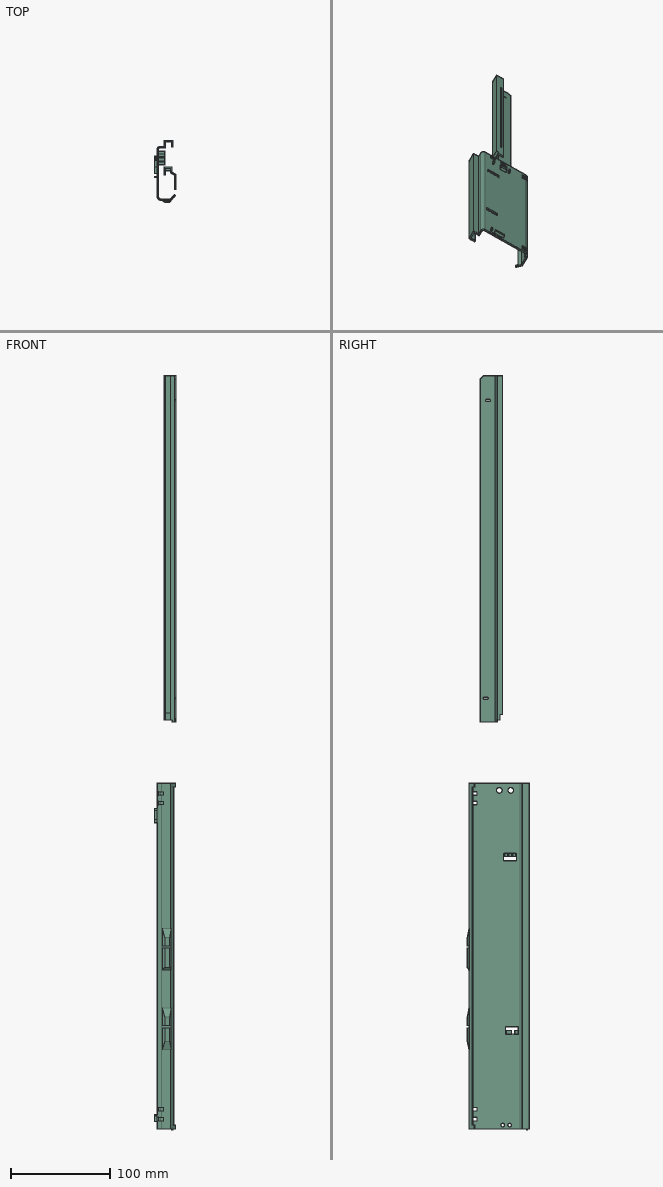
import cadquery as cq
import math

TOTAL_X = 21.79
TOTAL_Y = 62.5
TOTAL_Z = 759.98
X_MAX = TOTAL_X / 2
Y_MAX = TOTAL_Y / 2
Z_MAX = TOTAL_Z / 2

SHEET = 1.5
CUT_MARGIN = 1.0

SLIDE_BOTTOM = 31.0
SLIDE_LEFT = -1.2
SLIDE_STEP_X = 7.0
SLIDE_TOP_Y = 4.4
SLIDE_WALL_END_Y = -3.9
JOGGLE_START_Y = -0.8
JOGGLE_END_Y = -3.2
SLIDE_PLATE_END_Y = -18.3
PLATE_CHAMFER = 3.5
NECK_HEIGHT = 7.5
NECK_STEP = 2.5
NECK_BOTTOM = 32.8
LEAD_IN_HEIGHT = 5.0
LEAD_IN_DEPTH = 0.7
SLIDE_SLOT_LENGTH = 5.0
SLIDE_SLOT_WIDTH = 1.8
SLIDE_SLOTS = [(-10.3, 355.0), (-12.6, 55.0)]
BEAD_Z = (69.0, 334.0)
BEAD_Y = -1.0
BEAD_WIDTH = 1.6
BEAD_DEPTH = 0.4

RAIL_TOP = -30.5
TIP_DROP = 1.0
RAIL_BOTTOM = -Z_MAX + TIP_DROP
WEB_X = -8.3
FLANGE_LEFT = -1.2
FLANGE_RIGHT = 8.0
FLANGE_LIP_Y = 24.5
STEP_Y = 25.2
STEP_RADIUS = 3.4
FLOOR_Y = -29.5
FLOOR_RADIUS = 4.5
FLOOR_END_X = 5.5
LIP_X = 8.6
END_LIP_X = 10.4
END_LIP_HEIGHT = 4.0
TIP_Y = 29.0
TIP_WIDTH = 1.0

FLOOR_PADS = [
    (-219.0, -216.0, -195.5, -186.0, -177.0),
    (-299.0, -291.0, -276.0, -266.0, -257.0),
]
PAD_BASE_X = (-3.0, 6.0)
PAD_CREST_X = (-0.5, 4.5)
PAD_GROOVE = 2.2

WEB_HOLE_D = 5.5
WEB_HOLES = [(12.6, -37.8), (1.1, -37.8)]
END_HOLE_D = 3.5
END_HOLES = [(11.5, -375.0), (4.5, -375.0)]
WEB_BUMPS = [
    (-2.3, 4.5, -70.5, -63.0),
    (-2.3, 4.5, -62.0, -56.0),
    (12.0, 13.4, -66.5, -59.5),
    (-6.4, -5.0, -67.0, -58.0),
    (0.5, 11.0, -371.5, -366.0),
    (14.2, 15.6, -371.5, -364.5),
]
WINDOWS = [
    (5.5, 18.3, -108.5, -101.5),
    (7.5, 20.0, -283.0, -276.0),
]
TABS = [
    (6.5, 9.5, -104.5, -101.0),
    (10.5, 13.5, -104.5, -101.0),
    (14.5, 17.5, -104.5, -101.0),
    (8.0, 13.5, -283.5, -279.5),
    (16.5, 20.3, -283.5, -279.5),
]
TAB_X = -0.5
BEND_OPENINGS_Z = [-41.0, -50.5, -359.0, -369.0]
BEND_OPENING_HEIGHT = 3.4
BEND_OPENING_X = -1.8
BEND_OPENING_Y = -21.5


def block(x0, x1, y0, y1, z0, z1):
    return cq.Workplane("XY").box(x1 - x0, y1 - y0, z1 - z0, centered=False).translate((x0, y0, z0))


def left_normal(start, end):
    dx, dy = end[0] - start[0], end[1] - start[1]
    length = math.hypot(dx, dy)
    return -dy / length, dx / length


def bent_sheet(outer, z0, z1):
    """Extrude a mitred strip of sheet lying on the left of the outer path."""
    normals = [left_normal(a, b) for a, b in zip(outer, outer[1:])]
    before = [normals[0]] + normals
    after = normals + [normals[-1]]
    inner = []
    for (x, y), (ax, ay), (bx, by) in zip(outer, before, after):
        reach = SHEET / (1 + ax * bx + ay * by)
        inner.append((x + reach * (ax + bx), y + reach * (ay + by)))
    outline = outer + inner[::-1]
    return cq.Workplane("XY").workplane(offset=z0).polyline(outline).close().extrude(z1 - z0)


def round_bend(body, x, y, x_side, y_side, radius):
    """Round a bend, given its outer corner and the direction toward its inside."""
    pick = 0.1
    for shift, size in ((0, radius), (SHEET, radius - SHEET)):
        cx, cy = x + x_side * shift, y + y_side * shift
        corner = cq.selectors.BoxSelector(
            (cx - pick, cy - pick, -TOTAL_Z), (cx + pick, cy + pick, TOTAL_Z)
        )
        body = body.edges("|Z").edges(corner).fillet(size)
    return body


def holes_along_x(places, diameter, x0, x1):
    return cq.Workplane("YZ").workplane(offset=x0).pushPoints(places).circle(diameter / 2).extrude(x1 - x0)


def neck_bottom_end(slide):
    """Step the web of the slide inward at its bottom end and shorten the channel."""
    neck_top = SLIDE_BOTTOM + NECK_HEIGHT
    neck_y = SLIDE_TOP_Y - NECK_STEP
    neck_web = block(
        SLIDE_LEFT, SLIDE_STEP_X, neck_y - SHEET, neck_y, SLIDE_BOTTOM, neck_top + SHEET,
    )
    bridge = block(
        SLIDE_LEFT, SLIDE_STEP_X, neck_y - SHEET, SLIDE_TOP_Y, neck_top, neck_top + SHEET,
    )
    web_trim = block(
        SLIDE_LEFT, SLIDE_STEP_X, neck_y, SLIDE_TOP_Y, SLIDE_BOTTOM, neck_top,
    )
    end_trim = block(
        SLIDE_LEFT, SLIDE_STEP_X, SLIDE_WALL_END_Y, SLIDE_TOP_Y, SLIDE_BOTTOM, NECK_BOTTOM,
    )
    return slide.union(neck_web).union(bridge).cut(web_trim).cut(end_trim)


def make_slide():
    path = [
        (X_MAX, SLIDE_PLATE_END_Y),
        (X_MAX, JOGGLE_END_Y),
        (SLIDE_STEP_X, JOGGLE_START_Y),
        (SLIDE_STEP_X, SLIDE_TOP_Y),
        (SLIDE_LEFT, SLIDE_TOP_Y),
        (SLIDE_LEFT, SLIDE_WALL_END_Y),
    ]
    slide = bent_sheet(path, SLIDE_BOTTOM, Z_MAX)

    plate_corner = (
        cq.Workplane("YZ").workplane(offset=SLIDE_STEP_X)
        .moveTo(SLIDE_PLATE_END_Y, Z_MAX)
        .lineTo(SLIDE_PLATE_END_Y + PLATE_CHAMFER, Z_MAX)
        .lineTo(SLIDE_PLATE_END_Y, Z_MAX - PLATE_CHAMFER)
        .close().extrude(X_MAX)
    )
    slide = slide.cut(plate_corner)

    slide = neck_bottom_end(slide)

    plate_inner = X_MAX - SHEET
    lead_in = (
        cq.Workplane("XZ").workplane(offset=-JOGGLE_END_Y)
        .moveTo(plate_inner, SLIDE_BOTTOM + LEAD_IN_HEIGHT)
        .lineTo(plate_inner + LEAD_IN_DEPTH, SLIDE_BOTTOM)
        .lineTo(plate_inner, SLIDE_BOTTOM)
        .close().extrude(JOGGLE_END_Y - SLIDE_PLATE_END_Y)
    )
    slide = slide.cut(lead_in)

    bead = block(
        SLIDE_LEFT - CUT_MARGIN, SLIDE_LEFT + BEAD_DEPTH,
        BEAD_Y - BEAD_WIDTH / 2, BEAD_Y + BEAD_WIDTH / 2, *BEAD_Z,
    )
    slide = slide.cut(bead)

    slots = (
        cq.Workplane("YZ").workplane(offset=SLIDE_STEP_X).pushPoints(SLIDE_SLOTS)
        .slot2D(SLIDE_SLOT_LENGTH, SLIDE_SLOT_WIDTH).extrude(X_MAX)
    )
    return slide.cut(slots)


def lip_path(end_x):
    return [(FLOOR_END_X, FLOOR_Y), (end_x, FLOOR_Y + end_x - FLOOR_END_X)]


def rail_profile():
    path = [
        (FLANGE_RIGHT, FLANGE_LIP_Y),
        (FLANGE_RIGHT, Y_MAX),
        (FLANGE_LEFT, Y_MAX),
        (FLANGE_LEFT, STEP_Y),
        (WEB_X, STEP_Y),
        (WEB_X, FLOOR_Y),
    ] + lip_path(LIP_X)
    rail = bent_sheet(path, RAIL_BOTTOM, RAIL_TOP)
    rail = round_bend(rail, WEB_X, STEP_Y, 1, -1, STEP_RADIUS)
    rail = round_bend(rail, WEB_X, FLOOR_Y, 1, 1, FLOOR_RADIUS)

    for z0 in (RAIL_BOTTOM, RAIL_TOP - END_LIP_HEIGHT):
        rail = rail.union(bent_sheet(lip_path(END_LIP_X), z0, z0 + END_LIP_HEIGHT))

    tip = block(
        FLANGE_RIGHT - SHEET, FLANGE_RIGHT,
        TIP_Y - TIP_WIDTH / 2, TIP_Y + TIP_WIDTH / 2, -Z_MAX, RAIL_BOTTOM + CUT_MARGIN,
    )
    return rail.union(tip)


def floor_pad(base_low, crest_low, groove, crest_high, base_high):
    root_y = FLOOR_Y + SHEET / 2
    lengthwise = (
        cq.Workplane("YZ").workplane(offset=PAD_BASE_X[0])
        .moveTo(root_y, base_low)
        .lineTo(FLOOR_Y, base_low)
        .lineTo(-Y_MAX, crest_low)
        .lineTo(-Y_MAX, crest_high)
        .lineTo(FLOOR_Y, base_high)
        .lineTo(root_y, base_high)
        .close().extrude(PAD_BASE_X[1] - PAD_BASE_X[0])
    )
    crosswise = (
        cq.Workplane("XY").workplane(offset=base_low)
        .moveTo(PAD_BASE_X[0], root_y)
        .lineTo(PAD_BASE_X[0], FLOOR_Y)
        .lineTo(PAD_CREST_X[0], -Y_MAX)
        .lineTo(PAD_CREST_X[1], -Y_MAX)
        .lineTo(PAD_BASE_X[1], FLOOR_Y)
        .lineTo(PAD_BASE_X[1], root_y)
        .close().extrude(base_high - base_low)
    )
    channel = block(*PAD_BASE_X, -Y_MAX, FLOOR_Y, groove - PAD_GROOVE / 2, groove + PAD_GROOVE / 2)
    return lengthwise.intersect(crosswise).cut(channel)


def make_rail():
    rail = rail_profile()
    for pad in FLOOR_PADS:
        rail = rail.union(floor_pad(*pad))

    web_inner = WEB_X + SHEET
    for bump in WEB_BUMPS:
        rail = rail.union(block(-X_MAX, WEB_X + SHEET / 2, *bump))

    for window in WINDOWS:
        rail = rail.cut(block(WEB_X - CUT_MARGIN, web_inner + CUT_MARGIN, *window))
    for tab in TABS:
        rail = rail.union(block(WEB_X + SHEET / 2, TAB_X, *tab))

    through_web = (WEB_X - CUT_MARGIN, web_inner + CUT_MARGIN)
    rail = rail.cut(holes_along_x(WEB_HOLES, WEB_HOLE_D, *through_web))
    rail = rail.cut(holes_along_x(END_HOLES, END_HOLE_D, *through_web))

    for z in BEND_OPENINGS_Z:
        rail = rail.cut(block(
            WEB_X - CUT_MARGIN, BEND_OPENING_X, FLOOR_Y - CUT_MARGIN, BEND_OPENING_Y,
            z - BEND_OPENING_HEIGHT / 2, z + BEND_OPENING_HEIGHT / 2,
        ))
    return rail


slide = make_slide()
rail = make_rail()

result = cq.Compound.makeCompound([slide.val(), rail.val()])